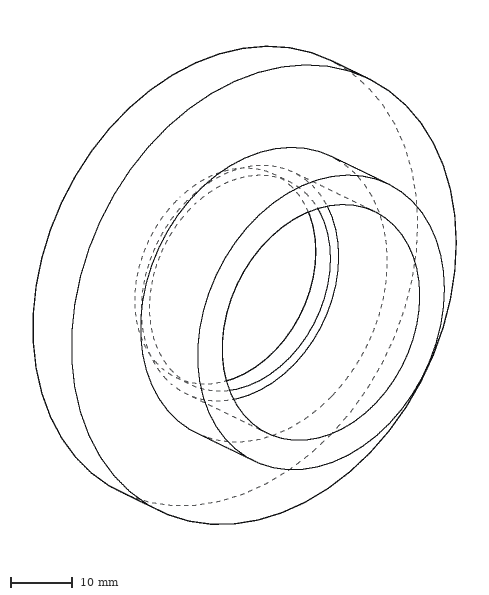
import cadquery as cq

flange_diameter = 78.0
flange_thickness = 10.5
hub_diameter = 50.0
total_length = 26.0

lip_diameter = 36.67
lip_length = 4.0
bore_diameter = 40.0


def cylinder(diameter, start, end):
    """Solid cylinder on the X axis from X = start to X = end."""
    return cq.Workplane("YZ", origin=(start, 0, 0)).circle(diameter / 2).extrude(end - start)


flange = cylinder(flange_diameter, 0, flange_thickness)
hub = cylinder(hub_diameter, 0, total_length)
lip_bore = cylinder(lip_diameter, 0, lip_length)
main_bore = cylinder(bore_diameter, lip_length, total_length)

result = flange.union(hub).cut(lip_bore).cut(main_bore)